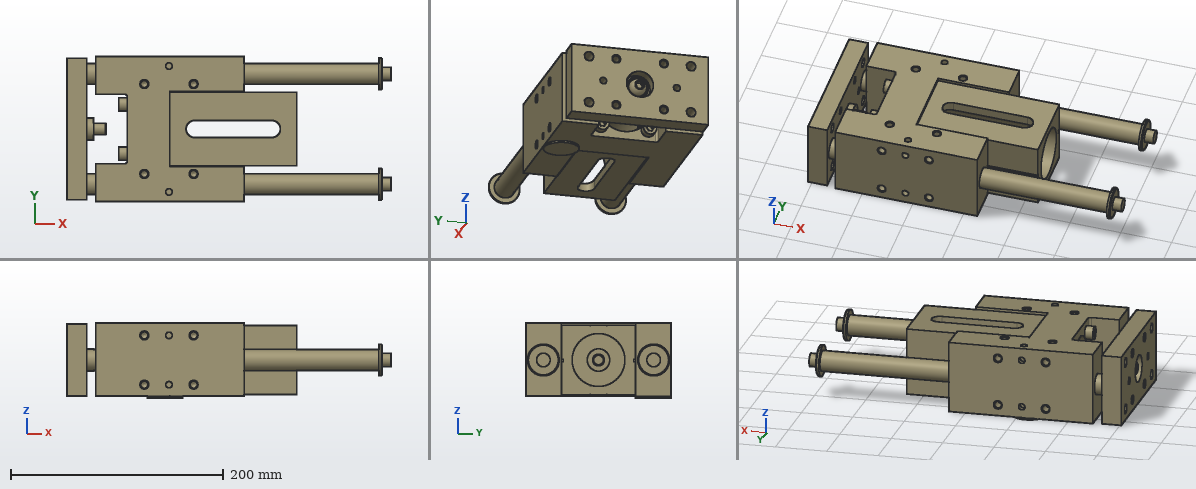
import cadquery as cq
import math

axis_z = 34.12
total_length = 306.0
bolt_pitch = 46.5

plate_thickness = 19.0
plate_width = 133.7
plate_height = 2 * axis_z
mount_hole_diameter = 9.0
mount_hole_spacing = 99.8
plate_pin_diameter = 6.5
plate_pin_spacing = 72.0

recess_diameter = 26.0
recess_depth = 12.0
hub_diameter = 21.0
hub_front = 9.2
hub_end = 25.5
stud_diameter = 11.0
stud_end = 37.3
stud_chamfer = 1.0
ball_radius = 9.0
ball_front = 1.5
ball_socket_width = 8.0
ball_socket_depth = 4.5

rod_spacing = 104.0
rod_diameter = 20.0
collar_front = 294.5
collar_thickness = 3.0
collar_diameter = 30.0
collar_chamfer = 1.0
tip_diameter = 13.0

housing_front = 27.2
housing_length = 140.0
housing_width = 137.0
housing_height = 69.2
notch_depth = 29.7
notch_width = 65.5
notch_corner_radius = 2.5
pocket_front = 97.3
pocket_width = 70.5

block_end = 217.0
block_width = 69.5
block_height = 65.2
slot_start = 112.5
slot_length = 88.7
slot_width = 16.0
web_bore_diameter = 53.0
bore_diameter = 50.0
groove_height = 2.8
groove_depth = 1.5
groove_rise = 1.0

cap_diameter = 13.0
cap_length = 8.0
cap_socket_width = 6.7
cap_socket_depth = 4.0

thread_diameter = 6.7
thread_mouth_diameter = 8.3
thread_depth = 13.8
drill_point_angle = 118
pin_diameter = 6.0
pin_depth = 6.0
hole_group_x = 96.5
top_thread_spacing = 84.8
top_pin_spacing = 118.7

foot_diameter = 33.7
foot_thickness = 1.8
foot_x = 92.7

housing_end = housing_front + housing_length
web_front = housing_front + notch_depth
half_bolt_pitch = bolt_pitch / 2
thread_mouth_chamfer = (thread_mouth_diameter - thread_diameter) / 2


def box(x_start, x_end, width, z_start, z_end):
    """Box between two X and two Z positions, centred in Y."""
    size = (x_end - x_start, width, z_end - z_start)
    return cq.Workplane("XY").box(*size, centered=(False, True, False)).translate((x_start, 0, z_start))


def rod_along_x(x_start, x_end, diameter, y=0.0, z=axis_z):
    """Cylinder along X between two X positions."""
    return cq.Workplane("YZ", origin=(x_start, y, z)).circle(diameter / 2).extrude(x_end - x_start)


def hex_along_x(x_start, depth, width, y=0.0, z=axis_z):
    """Hexagonal prism along X, sized across its corners."""
    return cq.Workplane("YZ", origin=(x_start, y, z)).polygon(6, width).extrude(depth)


def blind_thread(entry, inward):
    """Cutter for a threaded hole with a bevelled mouth and a drill point."""
    radius = thread_diameter / 2
    mouth = cq.Solid.makeCone(radius + thread_mouth_chamfer, radius, thread_mouth_chamfer, entry, inward)
    shank = cq.Solid.makeCylinder(radius, thread_depth, entry, inward)
    point_length = radius / math.tan(math.radians(drill_point_angle / 2))
    point = cq.Solid.makeCone(radius, 0, point_length, entry + inward * thread_depth, inward)
    return cq.Workplane(shank.fuse(mouth, point))


def square_of_bolts():
    """Y and Z of the four corners of the bolt square around the axis."""
    sides = (-half_bolt_pitch, half_bolt_pitch)
    return [(y, axis_z + dz) for y in sides for dz in sides]


def make_drive_screw():
    ball = cq.Workplane("XY").sphere(ball_radius).translate((hub_front, 0, axis_z))
    ball = ball.intersect(box(ball_front, hub_end, recess_diameter, 0, plate_height))
    hub = rod_along_x(hub_front, hub_end, hub_diameter)
    stud = rod_along_x(hub_end, stud_end, stud_diameter).faces(">X").chamfer(stud_chamfer)
    socket = hex_along_x(ball_front, ball_socket_depth, ball_socket_width)
    return ball.union(hub).union(stud).cut(socket)


def make_guide_rod(y):
    collar_end = collar_front + collar_thickness
    shaft = rod_along_x(plate_thickness, collar_front, rod_diameter, y)
    collar = rod_along_x(collar_front, collar_end, collar_diameter, y).faces(">X").chamfer(collar_chamfer)
    tip = rod_along_x(collar_end, total_length, tip_diameter, y)
    return shaft.union(collar).union(tip)


def make_moving_plate():
    plate = box(0, plate_thickness, plate_width, 0, plate_height)
    plate = plate.cut(rod_along_x(0, recess_depth, recess_diameter))
    for side in (-1, 1):
        plate = plate.cut(rod_along_x(0, plate_thickness, plate_pin_diameter, side * plate_pin_spacing / 2))
    for y, z in square_of_bolts():
        mount_y = math.copysign(mount_hole_spacing / 2, y)
        plate = plate.cut(rod_along_x(0, plate_thickness, mount_hole_diameter, mount_y, z))
        plate = plate.cut(rod_along_x(0, plate_thickness, thread_diameter, y, z))
        mouth = cq.Solid.makeCone(
            thread_mouth_diameter / 2, thread_diameter / 2, thread_mouth_chamfer,
            cq.Vector(0, y, z), cq.Vector(1, 0, 0),
        )
        plate = plate.cut(cq.Workplane(mouth))
    plate = plate.union(make_drive_screw())
    for side in (-1, 1):
        plate = plate.union(make_guide_rod(side * rod_spacing / 2))
    return plate


def make_housing_frame():
    frame = box(housing_front, housing_end, housing_width, 0, housing_height)
    notch = box(housing_front, web_front, notch_width, 0, housing_height)
    frame = frame.cut(notch.edges("|Z and >X").fillet(notch_corner_radius))
    return frame.cut(box(pocket_front, housing_end, pocket_width, 0, housing_height))


def make_rear_block():
    block_bottom = axis_z - block_height / 2
    block = box(pocket_front, block_end, block_width, block_bottom, block_bottom + block_height)
    slot_middle = slot_start + slot_length / 2
    slot = cq.Workplane("XY").center(slot_middle, 0).slot2D(slot_length, slot_width).extrude(housing_height)
    groove_top = axis_z + groove_rise
    groove = box(pocket_front, block_end, 2 * groove_depth, groove_top - groove_height, groove_top)
    for side in (-1, 1):
        block = block.cut(groove.translate((0, side * block_width / 2, 0)))
    return block.cut(slot)


def make_cap_screw(y, z):
    head_front = web_front - cap_length
    head = rod_along_x(head_front, web_front, cap_diameter, y, z)
    return head.cut(hex_along_x(head_front, cap_socket_depth, cap_socket_width, y, z))


def cut_housing_holes(housing):
    thread_xs = (hole_group_x - half_bolt_pitch, hole_group_x + half_bolt_pitch)
    down = cq.Vector(0, 0, -1)
    for side in (-1, 1):
        inward = cq.Vector(0, -side, 0)
        for x in thread_xs:
            top_entry = cq.Vector(x, side * top_thread_spacing / 2, housing_height)
            housing = housing.cut(blind_thread(top_entry, down))
            for dz in (-half_bolt_pitch, half_bolt_pitch):
                side_entry = cq.Vector(x, side * housing_width / 2, axis_z + dz)
                housing = housing.cut(blind_thread(side_entry, inward))
        pin_entries = [(cq.Vector(hole_group_x, side * top_pin_spacing / 2, housing_height), down)]
        for dz in (-half_bolt_pitch, half_bolt_pitch):
            pin_entries.append((cq.Vector(hole_group_x, side * housing_width / 2, axis_z + dz), inward))
        for entry, direction in pin_entries:
            pin_hole = cq.Solid.makeCylinder(pin_diameter / 2, pin_depth, entry, direction)
            housing = housing.cut(cq.Workplane(pin_hole))
    return housing


def make_housing():
    housing = make_housing_frame().union(make_rear_block())
    housing = housing.cut(rod_along_x(web_front, pocket_front, web_bore_diameter))
    housing = housing.cut(rod_along_x(pocket_front, block_end, bore_diameter))
    for y, z in square_of_bolts():
        housing = housing.union(make_cap_screw(y, z))
    for side in (-1, 1):
        housing = housing.cut(rod_along_x(housing_front, housing_end, rod_diameter, side * rod_spacing / 2))
    housing = cut_housing_holes(housing)
    foot_y = (housing_width - foot_diameter) / 2
    foot = cq.Workplane("XY").center(foot_x, foot_y).circle(foot_diameter / 2).extrude(-foot_thickness)
    return housing.union(foot)


moving_plate = make_moving_plate()
housing = make_housing()
result = cq.Compound.makeCompound([moving_plate.val(), housing.val()])